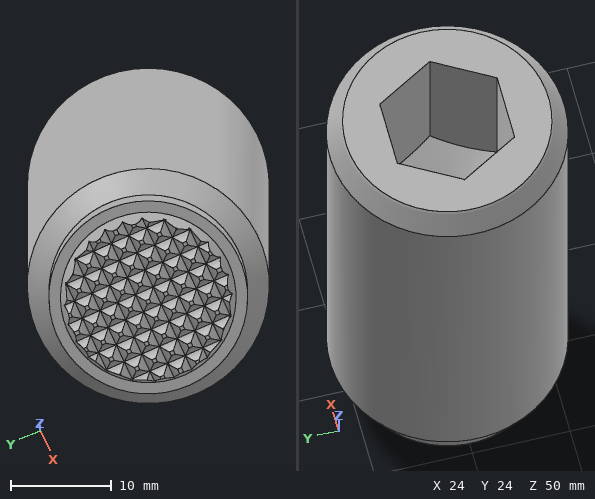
import cadquery as cq
import math

total_length = 50.0
body_diameter = 24.0

insert_height = 1.75
collar_diameter = 19.7
collar_height = 2.5
tip_chamfer = (body_diameter - collar_diameter) / 2

head_chamfer_diameter = 21.15
head_chamfer_height = 2.15
head_face_diameter = 20.75
edge_break_height = 0.2

socket_across_flats = 12.0
socket_depth = 15.0
socket_floor_angle = 120.0

insert_top_diameter = 17.4
insert_tip_diameter = 16.0
groove_count = 8
groove_span = 13.45
groove_pitch = groove_span / (groove_count - 1)
groove_depth = 0.9
groove_width = 1.5
flank_bulge = 0.09


def make_screw_body():
    """Revolved screw blank with a hex socket in its head."""
    collar_top = insert_height + collar_height
    chamfer_bottom = total_length - head_chamfer_height
    profile = [
        (0, insert_height),
        (collar_diameter / 2, insert_height),
        (collar_diameter / 2, collar_top),
        (body_diameter / 2, collar_top + tip_chamfer),
        (body_diameter / 2, chamfer_bottom),
        (head_chamfer_diameter / 2, total_length - edge_break_height),
        (head_face_diameter / 2, total_length),
        (0, total_length),
    ]
    blank = cq.Workplane("XZ").polyline(profile).close().revolve(360, (0, 0), (0, 1))
    return blank.cut(make_socket())


def make_socket():
    """Hexagonal prism ending in a cone that spans the hex corners."""
    across_corners = socket_across_flats / math.cos(math.pi / 6)
    corner_radius = across_corners / 2
    cone_height = corner_radius / math.tan(math.radians(socket_floor_angle / 2))
    cone_base = total_length - socket_depth
    cone_tip = cone_base - cone_height

    hex_prism = (
        cq.Workplane("XY", origin=(0, 0, cone_tip))
        .polygon(6, across_corners)
        .extrude(total_length - cone_tip)
    )
    pointed_bore = (
        cq.Workplane("XZ")
        .moveTo(0, cone_tip)
        .lineTo(corner_radius, cone_base)
        .lineTo(corner_radius, total_length)
        .lineTo(0, total_length)
        .close()
        .revolve(360, (0, 0), (0, 1))
    )
    return hex_prism.intersect(pointed_bore)


def make_groove(offset):
    """Groove along Y at the given X, with bulging flanks that meet in a sharp root."""
    half_width = groove_width / 2
    flank_length = math.hypot(half_width, groove_depth)
    middle_x = half_width / 2 - flank_bulge * groove_depth / flank_length
    middle_z = groove_depth / 2 - flank_bulge * half_width / flank_length
    return (
        cq.Workplane("XZ")
        .moveTo(offset - half_width, 0)
        .threePointArc((offset - middle_x, middle_z), (offset, groove_depth))
        .threePointArc((offset + middle_x, middle_z), (offset + half_width, 0))
        .close()
        .extrude(insert_top_diameter / 2, both=True)
    )


def make_serrated_insert():
    """Conical insert whose tip face is cut into a square grid of teeth."""
    profile = [
        (0, 0),
        (insert_tip_diameter / 2, 0),
        (insert_top_diameter / 2, insert_height),
        (0, insert_height),
    ]
    insert = cq.Workplane("XZ").polyline(profile).close().revolve(360, (0, 0), (0, 1))
    for index in range(groove_count):
        groove = make_groove(index * groove_pitch - groove_span / 2)
        insert = insert.cut(groove)
        insert = insert.cut(groove.rotate((0, 0, 0), (0, 0, 1), 90))
    return insert


screw_body = make_screw_body()
serrated_insert = make_serrated_insert()

result = cq.Compound.makeCompound([screw_body.val(), serrated_insert.val()])